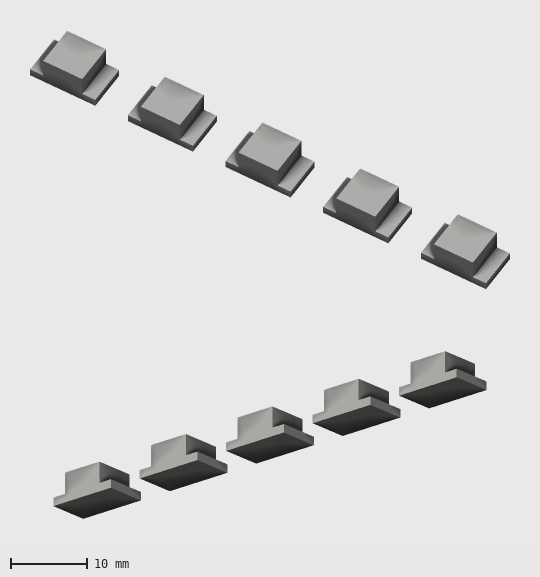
import cadquery as cq

block_count = 5
block_pitch = 15.0
base_length = 10.0
block_depth = 6.0
block_length = 6.0
base_thickness = 1.2
block_height = 4.2

first_block_x = -block_pitch * (block_count - 1) / 2


def make_stepped_block(center_x):
    """Build a block standing on a thin base that projects as a foot at each X end."""
    base = cq.Workplane("XY").box(base_length, block_depth, base_thickness, centered=(True, True, False))
    block = cq.Workplane("XY").box(block_length, block_depth, block_height, centered=(True, True, False))
    return base.union(block).translate((center_x, 0, 0))


stepped_blocks = [make_stepped_block(first_block_x + index * block_pitch) for index in range(block_count)]

result = cq.Compound.makeCompound([stepped_block.val() for stepped_block in stepped_blocks])